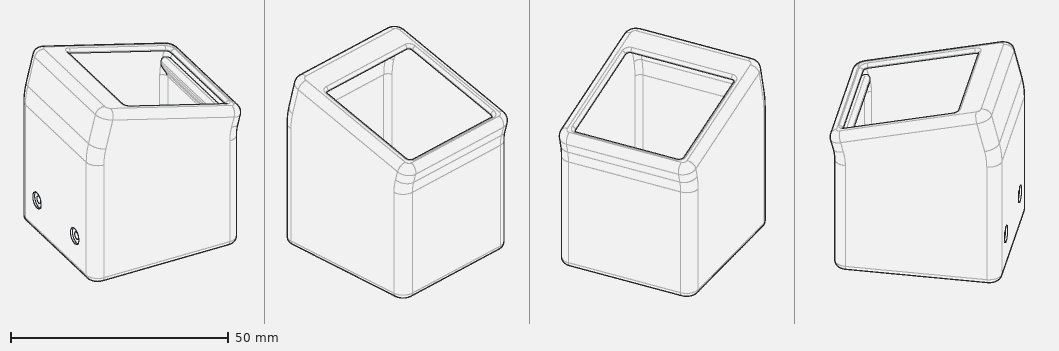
import cadquery as cq
import math

WIDTH = 35.0
DEPTH = 39.02
FRONT_LEAN = 14.0
FRONT_BEND_Z = 31.8
FRONT_BEND_RADIUS = 20.0
REAR_LEAN = 15.0
REAR_BEND_Z = 28.58
REAR_BEND_RADIUS = 11.0
TOP_SLOPE = 15.0
HEAD_LENGTH = 9.55

SIDE_EDGE_RADIUS = 3.0
RIM_RADIUS = 2.0
BASE_RADIUS = 1.45

WINDOW_SIZE = 28.0
WINDOW_TILT = 15.0
WINDOW_CENTER_Y = 24.12
WINDOW_CORNER_RADIUS = 1.0
WINDOW_LIP_RADIUS = 0.73

WALL = 1.73
LID_THICKNESS = 1.0
CAVITY_CORNER_RADIUS = 1.35

BAR_TOP_Z = 33.15
BAR_REACH = 1.0
BAR_NOSE_RADIUS = 1.05
BAR_FACE_HEIGHT = 0.65
UNDERCUT_RADIUS = 2.0
UNDERCUT_RUN_PER_DROP = 1 / 2

FOOT_REACH = 1.5
FOOT_EDGE_Z = 6.8
FOOT_RISE_PER_RUN = 3

SCREW_SPACING = 18.0
SCREW_Z = 9.0
SCREW_DIAMETER = 1.8
SCREW_HEAD_DIAMETER = 4.0
SCREW_HEAD_DEPTH = 0.5

REAR_WALL_Y = DEPTH - WALL
TOP_FALL = math.tan(math.radians(TOP_SLOPE))
TOP_NORMAL = cq.Vector(0, math.sin(math.radians(TOP_SLOPE)), math.cos(math.radians(TOP_SLOPE)))
TOP_FACE = cq.selectors.DirectionMinMaxSelector(TOP_NORMAL)


def bend_point(y, z, radius, lean):
    """Point, in Y and Z, where an arc rising from (y, z) has turned by lean degrees toward +Y."""
    angle = math.radians(lean)
    return (y + radius * (1 - math.cos(angle)), z + radius * math.sin(angle))


def top_start_z():
    """Height above Y = 0 of the sloping top, set by the sharp front corner of the head."""
    y, z = bend_point(0, FRONT_BEND_Z, FRONT_BEND_RADIUS, FRONT_LEAN)
    lean = math.radians(FRONT_LEAN)
    corner_y = y + HEAD_LENGTH * math.sin(lean)
    corner_z = z + HEAD_LENGTH * math.cos(lean)
    return corner_z + TOP_FALL * corner_y


TOP_START_Z = top_start_z()


def side_profile(wall, lid):
    """Side profile of the body, moved inward by wall at front and rear and by lid at the top."""
    front_bend = (wall, FRONT_BEND_Z, FRONT_BEND_RADIUS - wall)
    rear_bend = (DEPTH - wall, REAR_BEND_Z, REAR_BEND_RADIUS + wall)
    front_y, front_z = bend_point(*front_bend, FRONT_LEAN)
    rear_y, rear_z = bend_point(*rear_bend, REAR_LEAN)
    rear_run = math.tan(math.radians(REAR_LEAN))
    front_run = math.tan(math.radians(FRONT_LEAN))

    top_z = TOP_START_Z - lid / math.cos(math.radians(TOP_SLOPE))
    front_rise = (top_z - TOP_FALL * front_y - front_z) / (1 + TOP_FALL * front_run)
    rear_rise = (top_z - TOP_FALL * rear_y - rear_z) / (1 + TOP_FALL * rear_run)
    return (
        cq.Workplane("YZ")
        .moveTo(wall, 0)
        .lineTo(wall, FRONT_BEND_Z)
        .threePointArc(bend_point(*front_bend, FRONT_LEAN / 2), (front_y, front_z))
        .lineTo(front_y + front_rise * front_run, front_z + front_rise)
        .lineTo(rear_y + rear_rise * rear_run, rear_z + rear_rise)
        .lineTo(rear_y, rear_z)
        .threePointArc(bend_point(*rear_bend, REAR_LEAN / 2), (DEPTH - wall, REAR_BEND_Z))
        .lineTo(DEPTH - wall, 0)
        .close()
    )


def upright_edges(solid, top_face):
    """Edges that run up the four corners of a block, past the bends."""
    level = [edge.hashCode() for face in ("<Z", top_face) for edge in solid.faces(face).edges().vals()]
    corners = solid.faces("<X or >X").edges().vals()
    return solid.newObject([edge for edge in corners if edge.hashCode() not in level])


def make_block(wall, lid, corner_radius):
    """Block of the side profile, moved inward, with its upright corners rounded."""
    block = side_profile(wall, lid).extrude(WIDTH / 2 - wall, both=True)
    return upright_edges(block, TOP_FACE).fillet(corner_radius)


def across(profile):
    """Close a YZ profile and extrude it over the full width."""
    return profile.close().extrude(WIDTH / 2, both=True)


def make_bar():
    """Bar on the rear wall: flat top, round nose, short face and smooth sloping undercut."""
    nose_y = REAR_WALL_Y - BAR_REACH
    face_top = BAR_TOP_Z - BAR_NOSE_RADIUS
    face_bottom = face_top - BAR_FACE_HEIGHT
    slope = math.atan(UNDERCUT_RUN_PER_DROP)
    run = UNDERCUT_RADIUS * (1 - math.cos(slope))
    drop = UNDERCUT_RADIUS * math.sin(slope)
    slope_drop = (BAR_REACH - 2 * run) / UNDERCUT_RUN_PER_DROP
    upper_z = face_bottom - drop
    lower_z = upper_z - slope_drop
    return across(
        cq.Workplane("YZ")
        .moveTo(DEPTH, BAR_TOP_Z)
        .lineTo(nose_y + BAR_NOSE_RADIUS, BAR_TOP_Z)
        .radiusArc((nose_y, face_top), -BAR_NOSE_RADIUS)
        .lineTo(nose_y, face_bottom)
        .radiusArc((nose_y + run, upper_z), -UNDERCUT_RADIUS)
        .lineTo(REAR_WALL_Y - run, lower_z)
        .radiusArc((REAR_WALL_Y, lower_z - drop), UNDERCUT_RADIUS)
        .lineTo(DEPTH, lower_z - drop)
    )


def make_foot():
    """Foot along the bottom of the rear wall."""
    foot_y = REAR_WALL_Y - FOOT_REACH
    slope_top_z = FOOT_EDGE_Z + FOOT_REACH * FOOT_RISE_PER_RUN
    return across(
        cq.Workplane("YZ")
        .moveTo(DEPTH, 0)
        .lineTo(foot_y, 0)
        .lineTo(foot_y, FOOT_EDGE_Z)
        .lineTo(REAR_WALL_Y, slope_top_z)
        .lineTo(DEPTH, slope_top_z)
    )


def make_screw_holes():
    """Counterbored holes through the front wall."""
    front = cq.Workplane("XZ").center(0, SCREW_Z).rarray(SCREW_SPACING, 0.45, 2, 1)
    heads = front.circle(SCREW_HEAD_DIAMETER / 2).extrude(-SCREW_HEAD_DEPTH)
    shanks = front.circle(SCREW_DIAMETER / 2).extrude(-2 * WALL)
    return heads.union(shanks)


def make_window():
    """Square cutter, reaching from above the top to below the lid."""
    tilt = math.radians(WINDOW_TILT)
    plane = cq.Plane(
        origin=(0, WINDOW_CENTER_Y, TOP_START_Z - TOP_FALL * WINDOW_CENTER_Y),
        xDir=(1, 0, 0),
        normal=(0, math.sin(tilt), math.cos(tilt)),
    )
    window = cq.Workplane(plane).rect(WINDOW_SIZE, WINDOW_SIZE).extrude(2 * LID_THICKNESS, both=True)
    return window.edges(cq.selectors.ParallelDirSelector(plane.zDir)).fillet(WINDOW_CORNER_RADIUS)


body = make_block(0, 0, SIDE_EDGE_RADIUS)
body = body.faces(TOP_FACE).edges().fillet(RIM_RADIUS)
body = body.faces("<Z").edges().fillet(BASE_RADIUS)
body = body.cut(make_window())
window_edges = body.faces(TOP_FACE).wires(cq.selectors.LengthNthSelector(0)).edges()
body = window_edges.fillet(WINDOW_LIP_RADIUS)

cavity = make_block(WALL, LID_THICKNESS, CAVITY_CORNER_RADIUS)
cavity = cavity.cut(make_bar()).cut(make_foot())
result = body.cut(cavity).cut(make_screw_holes())